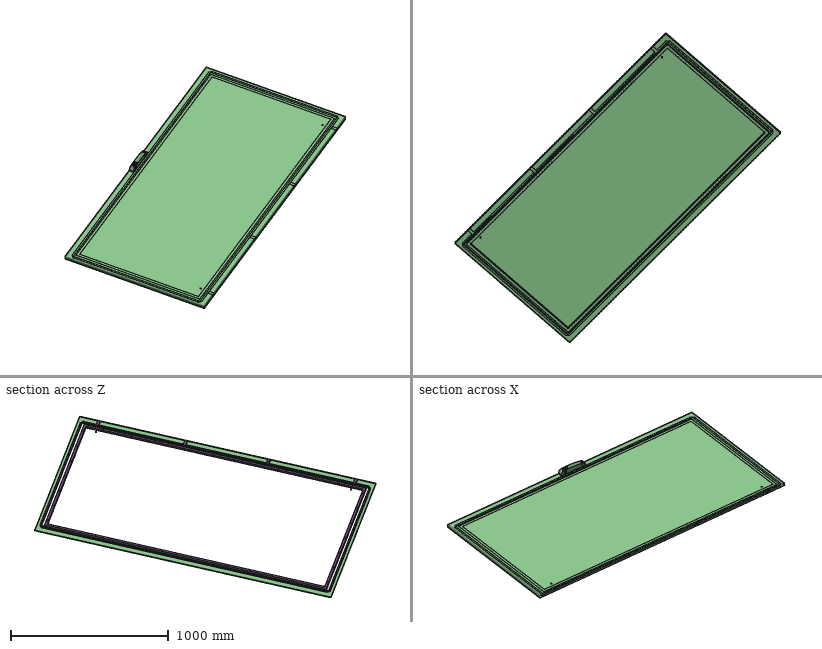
import cadquery as cq
door_width = 995.0
door_length = 1960.0
overall_height = 65.0
gasket_drop = 4.0
door_depth = 20.0
sheet_thickness = 2.0
bend_radius = 4.0
door_bottom = gasket_drop
door_top = door_bottom + door_depth
inner_top = door_top - sheet_thickness

lip_thickness = 12.0
lip_inset_x = 35.0
lip_inset_y = 20.0
lip_corner_chamfer = 15.0
lip_clearance = 1.0

gasket_width = 18.0
gasket_inset_x = 57.0
gasket_inset_y = 47.0

web_width = 20.0
web_places_y = (-850.0, -275.0, 275.0, 850.0)
stud_x = 402.0
stud_y = 843.0
stud_radius = 4.0
stud_length = 12.0

handle_width = 30.0
handle_edge_gap = 5.0
handle_x = handle_edge_gap + handle_width / 2 - door_width / 2
handle_rear = 104.0
handle_front = -92.0
arch_y = -18.0
arch_radius = 490.0
crown_rise = 8.0
nose_radius = 31.0
tail_start = 73.0
tail_top_z = 57.0
tail_middle_y = 92.0
tail_middle_z = 45.0
tail_corner_radius = 10.0
seam_width = 2.0
seam_depth = 2.0
seam_places_y = (tail_start, -55.0, -67.0)
notch_rear = -40.0
notch_length = 10.0
notch_depth = 2.0


def plate(width, length, bottom, top):
    """Rectangular block centred on the Z axis between two heights."""
    return cq.Workplane("XY").workplane(offset=bottom).rect(width, length).extrude(top - bottom)


def inset_plate(inset_x, inset_y, bottom, top):
    """Block whose sides lie inside the door outline by the given insets."""
    return plate(door_width - 2 * inset_x, door_length - 2 * inset_y, bottom, top)


def make_tray():
    """Face sheet, side walls and return flange."""
    outside = plate(door_width, door_length, door_bottom, door_top)
    outside = outside.edges("|Z or >Z").fillet(bend_radius)
    cavity = inset_plate(sheet_thickness, sheet_thickness, door_bottom + sheet_thickness, inner_top)
    opening = inset_plate(
        lip_inset_x + lip_thickness,
        lip_inset_y + lip_thickness,
        door_bottom,
        door_bottom + sheet_thickness,
    )
    cavity = cavity.edges("|Z or >Z").fillet(bend_radius - sheet_thickness)
    return outside.cut(cavity).cut(opening)


def make_lip():
    """Ring that rises from the flange to just below the face sheet."""
    lip_top = inner_top - lip_clearance
    outside = inset_plate(lip_inset_x, lip_inset_y, door_bottom, lip_top)
    outside = outside.edges("|Z").chamfer(lip_corner_chamfer)
    inside = inset_plate(
        lip_inset_x + lip_thickness, lip_inset_y + lip_thickness, door_bottom, lip_top
    )
    return outside.cut(inside)


def make_gasket():
    """Ring under the face sheet that stands proud of the rim."""
    outside = inset_plate(gasket_inset_x, gasket_inset_y, 0, inner_top)
    inside = inset_plate(
        gasket_inset_x + gasket_width, gasket_inset_y + gasket_width, 0, inner_top
    )
    return outside.cut(inside)


def make_webs():
    """Short cross webs in the channel on the hinge side."""
    web_span = lip_inset_x - sheet_thickness
    web_x = door_width / 2 - lip_inset_x + web_span / 2
    return (
        cq.Workplane("XY")
        .workplane(offset=door_bottom)
        .pushPoints([(web_x, y) for y in web_places_y])
        .rect(web_span, web_width)
        .extrude(inner_top - door_bottom)
    )


def make_studs():
    return (
        cq.Workplane("XY")
        .workplane(offset=inner_top)
        .pushPoints([(stud_x, stud_y), (stud_x, -stud_y)])
        .circle(stud_radius)
        .extrude(-stud_length)
    )


def make_door():
    door = make_tray()
    for feature in (make_lip(), make_gasket(), make_webs(), make_studs()):
        door = door.union(feature)
    return door


def handle_block(rear, front, bottom, top):
    """Block over the full handle width between two Y places and two heights."""
    return (
        cq.Workplane("XY")
        .workplane(offset=bottom)
        .center(handle_x, (rear + front) / 2)
        .rect(handle_width, rear - front)
        .extrude(top - bottom)
    )


def arched_bar(inset):
    """Bar with a crowned top that follows the lengthwise arch, shrunk by the inset at sides and top."""
    half_width = handle_width / 2 - inset
    top = overall_height - inset
    turn_center_z = overall_height - arch_radius
    ring = (
        cq.Workplane("XZ", origin=(handle_x, arch_y, 0))
        .moveTo(-half_width, 0)
        .lineTo(-half_width, top - crown_rise)
        .threePointArc((0, top), (half_width, top - crown_rise))
        .lineTo(half_width, 0)
        .close()
        .revolve(360, (0, turn_center_z, 0), (1, turn_center_z, 0))
    )
    return ring.intersect(handle_block(handle_rear, handle_front, door_top, overall_height))


def make_grip():
    """Arched bar with a rounded nose and a curved slope at the tail."""
    ends = (
        cq.Workplane("YZ", origin=(handle_x - handle_width / 2, 0, 0))
        .moveTo(handle_front, door_top)
        .lineTo(handle_front, overall_height)
        .lineTo(tail_start, overall_height)
        .lineTo(tail_start, tail_top_z)
        .threePointArc((tail_middle_y, tail_middle_z), (handle_rear, door_top))
        .close()
        .extrude(handle_width)
        .edges("|X and >Z and <Y")
        .fillet(nose_radius)
    )
    corners = handle_block(handle_rear, handle_front, door_top, overall_height)
    corners = corners.edges("|Z and >Y").fillet(tail_corner_radius)
    return arched_bar(0).intersect(ends).intersect(corners)


def make_seams():
    """Narrow grooves that run up both sides and over the top of the grip."""
    seams = cq.Workplane("XY")
    for seam_y in seam_places_y:
        rear = seam_y + seam_width / 2
        seams = seams.union(handle_block(rear, rear - seam_width, door_top, overall_height))
    return seams.cut(arched_bar(seam_depth))


def make_notch():
    """Shallow step across the top in front of the grip."""
    notch_bottom = overall_height - crown_rise - notch_depth
    band = handle_block(notch_rear, notch_rear - notch_length, notch_bottom, overall_height)
    return band.cut(arched_bar(notch_depth))


def make_handle():
    return make_grip().cut(make_seams()).cut(make_notch())


door = make_door()
handle = make_handle()
result = cq.Compound.makeCompound([door.val(), handle.val()])